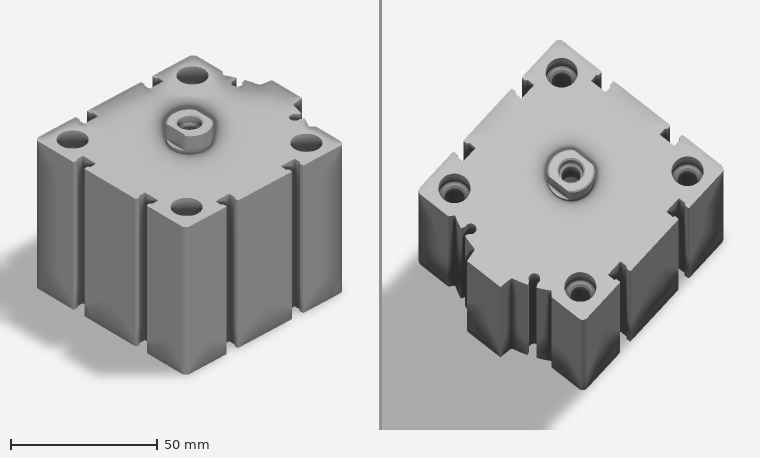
import cadquery as cq
import math

side = 75.0
half_side = side / 2
housing_height = 61.0
corner_radius = 2.0

rail_arc_radius = 41.75
rail_arc_end_x = 21.6
rail_lead_in_x = 23.1
tab_top_y = 46.0
tab_top_half_width = 7.5
tab_root_half_width = 8.2
tab_root_radius = 1.0

keyhole_center_x = 14.3
keyhole_center_y = 36.1
keyhole_tilt = 25.0
keyhole_diameter = 4.0
keyhole_throat = 3.0
keyhole_throat_length = 5.0

slot_offset = 15.4
slot_throat = 5.2
slot_width = 6.6
slot_lip = 2.0
slot_depth = 5.0
slot_lip_radius = 0.4

hole_offset = 28.25
counterbore_diameter = 11.0
counterbore_depth = 7.0
mount_chamfer_diameter = 8.4
mount_hole_diameter = 6.8

rod_diameter = 16.0
rod_projection = 8.0
rod_embedded_length = 12.0
rod_chamfer = 0.5
flat_spacing = 13.0
flat_length = 6.5
rod_mouth_diameter = 9.6
rod_relief_diameter = 8.57
rod_relief_depth = 3.2
rod_hole_diameter = 6.65
rod_hole_depth = 13.0
drill_point_angle = 118.0

rod_length = rod_embedded_length + rod_projection
rod_bottom_z = housing_height - rod_embedded_length
rod_top_z = housing_height + rod_projection


def arc_y(x):
    """Height of the rail arc above the rod axis at a given X."""
    return math.sqrt(rail_arc_radius**2 - x**2)


def make_block():
    """Square block whose +Y side rises to the rail arc and its central tab."""
    root_y = arc_y(tab_root_half_width)
    arc_mid_x = (rail_arc_end_x + tab_root_half_width) / 2
    block = (
        cq.Workplane("XY")
        .moveTo(-half_side, -half_side)
        .lineTo(half_side, -half_side)
        .lineTo(half_side, half_side)
        .lineTo(rail_lead_in_x, half_side)
        .lineTo(rail_arc_end_x, arc_y(rail_arc_end_x))
        .threePointArc((arc_mid_x, arc_y(arc_mid_x)), (tab_root_half_width, root_y))
        .lineTo(tab_top_half_width, tab_top_y)
        .lineTo(-tab_top_half_width, tab_top_y)
        .lineTo(-tab_root_half_width, root_y)
        .threePointArc((-arc_mid_x, arc_y(arc_mid_x)), (-rail_arc_end_x, arc_y(rail_arc_end_x)))
        .lineTo(-rail_lead_in_x, half_side)
        .lineTo(-half_side, half_side)
        .close()
        .extrude(housing_height)
    )
    corners = [(x, y) for x in (-half_side, half_side) for y in (-half_side, half_side)]
    for corner in corners:
        upright = cq.selectors.NearestToPointSelector(upright_middle(*corner))
        block = block.edges(upright).fillet(corner_radius)
    for x in (-tab_root_half_width, tab_root_half_width):
        upright = cq.selectors.NearestToPointSelector(upright_middle(x, root_y))
        block = block.edges(upright).fillet(tab_root_radius)
    return block


def upright_middle(x, y):
    """Middle of the vertical edge that stands at (x, y)."""
    return (x, y, housing_height / 2)


def make_t_slot(offset, turn):
    """T-slot cutter opening at -Y with rounded lips, then turned about Z to the chosen side."""
    throat = cq.Workplane("XY").box(slot_throat, slot_lip, housing_height, centered=(True, False, False))
    throat = throat.translate((offset, -half_side, 0))
    channel_depth = slot_depth - slot_lip
    channel = cq.Workplane("XY").box(slot_width, channel_depth, housing_height, centered=(True, False, False))
    channel = channel.translate((offset, -half_side + slot_lip, 0))
    cutter = throat.union(channel)
    for direction in (-1, 1):
        wall_x = offset + direction * slot_throat / 2
        cutter = cutter.union(make_lip_rounding(wall_x, -half_side, direction, 1))
        cutter = cutter.union(make_lip_rounding(wall_x, -half_side + slot_lip, direction, -1))
    return cutter.rotate((0, 0, 0), (0, 0, 1), turn)


def make_lip_rounding(x, y, x_direction, y_direction):
    """Corner sliver that rounds a lip edge at (x, y); the directions point into the lip."""
    reach_x = x_direction * slot_lip_radius
    reach_y = y_direction * slot_lip_radius
    bulge = 1 - math.sqrt(0.5)
    return (
        cq.Workplane("XY")
        .moveTo(x, y)
        .lineTo(x + reach_x, y)
        .threePointArc((x + bulge * reach_x, y + bulge * reach_y), (x, y + reach_y))
        .close()
        .extrude(housing_height)
    )


def make_keyhole(direction):
    """Round-bottomed groove cutter leaning outward, on the -X (-1) or +X (1) side."""
    bore = cq.Workplane("XY").circle(keyhole_diameter / 2).extrude(housing_height)
    throat = (
        cq.Workplane("XY")
        .center(0, keyhole_throat_length / 2)
        .rect(keyhole_throat, keyhole_throat_length)
        .extrude(housing_height)
    )
    keyhole = bore.union(throat).rotate((0, 0, 0), (0, 0, 1), -direction * keyhole_tilt)
    return keyhole.translate((direction * keyhole_center_x, keyhole_center_y, 0))


def make_mounting_hole(x, y):
    """Through hole with a 45 degree lead-in below a flat counterbore, as a cutter."""
    floor_z = housing_height - counterbore_depth
    hole_radius = mount_hole_diameter / 2
    chamfer_radius = mount_chamfer_diameter / 2
    counterbore_radius = counterbore_diameter / 2
    return (
        cq.Workplane("XZ")
        .polyline([
            (0, 0),
            (hole_radius, 0),
            (hole_radius, floor_z - (chamfer_radius - hole_radius)),
            (chamfer_radius, floor_z),
            (counterbore_radius, floor_z),
            (counterbore_radius, housing_height),
            (0, housing_height),
        ])
        .close()
        .revolve(360, (0, 0, 0), (0, 1, 0))
        .translate((x, y, 0))
    )


def make_housing():
    housing = make_block()
    for turn in (-90, 0, 90):
        for offset in (-slot_offset, slot_offset):
            housing = housing.cut(make_t_slot(offset, turn))
    for direction in (-1, 1):
        housing = housing.cut(make_keyhole(direction))
    for x in (-hole_offset, hole_offset):
        for y in (-hole_offset, hole_offset):
            housing = housing.cut(make_mounting_hole(x, y))
    rod_socket = (
        cq.Workplane("XY", origin=(0, 0, rod_bottom_z))
        .circle(rod_diameter / 2)
        .extrude(rod_embedded_length)
    )
    return housing.cut(rod_socket)


def make_rod_hole():
    """Stepped blind hole in the rod end: chamfered relief, 45 degree step, drilled hole and drill point."""
    mouth_radius = rod_mouth_diameter / 2
    relief_radius = rod_relief_diameter / 2
    hole_radius = rod_hole_diameter / 2
    point_depth = hole_radius / math.tan(math.radians(drill_point_angle / 2))
    return (
        cq.Workplane("XZ")
        .polyline([
            (0, rod_top_z),
            (mouth_radius, rod_top_z),
            (relief_radius, rod_top_z - (mouth_radius - relief_radius)),
            (relief_radius, rod_top_z - rod_relief_depth),
            (hole_radius, rod_top_z - rod_relief_depth - (relief_radius - hole_radius)),
            (hole_radius, rod_top_z - rod_hole_depth),
            (0, rod_top_z - rod_hole_depth - point_depth),
        ])
        .close()
        .revolve(360, (0, 0, 0), (0, 1, 0))
    )


def make_rod():
    rod = (
        cq.Workplane("XY", origin=(0, 0, rod_bottom_z))
        .circle(rod_diameter / 2)
        .extrude(rod_length)
        .faces(">Z")
        .chamfer(rod_chamfer)
    )
    flat_cut_width = (rod_diameter - flat_spacing) / 2
    for direction in (-1, 1):
        flat_cut = cq.Workplane("XY").box(rod_diameter, flat_cut_width, flat_length)
        flat_y = direction * (flat_spacing + flat_cut_width) / 2
        rod = rod.cut(flat_cut.translate((0, flat_y, rod_top_z - flat_length / 2)))
    return rod.cut(make_rod_hole())


housing = make_housing()
rod = make_rod()

result = cq.Compound.makeCompound([housing.val(), rod.val()])